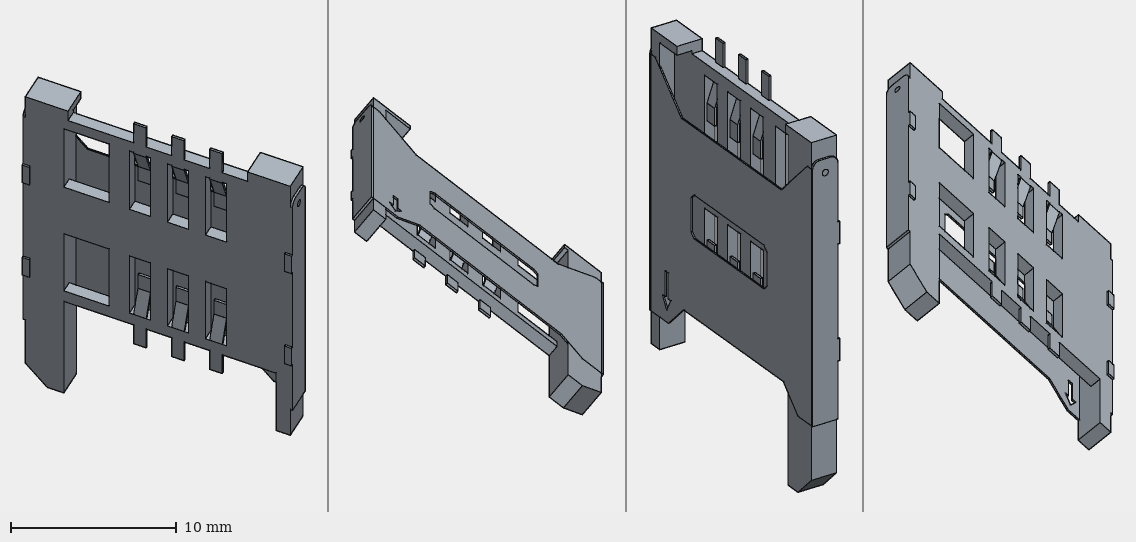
import cadquery as cq
height = 25.4
overall_width = 18.0
housing_depth = 1.83
tab_thickness = 0.13
wall_thickness = 0.15
half_overall = overall_width / 2
half_housing = half_overall - wall_thickness

plate_thickness = 0.75
plate_bottom = 7.95
plate_top = 23.75
block_top = 24.55
block_thickness = 0.6
block_inner_x = 6.0
left_rail_inner_x = -6.27
right_rail_inner_x = 7.9
right_leg_bottom = 2.97
leg_chamfer = 1.47

wall_bottom = 5.2
wall_top = 23.25
wall_corner_radius = 0.5
tab_width = 0.48
tab_height = 1.52
tab_bottoms = [17.16, 9.17]

upper_window_bottom = 17.85
upper_window_top = 22.9
lower_window_bottom = 8.85
lower_window_top = 13.8
wide_window_right_x = -3.25
narrow_window_width = 1.4

first_column_x = -1.2
column_pitch = 2.55
column_xs = [first_column_x + i * column_pitch for i in range(3)]
contact_width = 0.85
contact_thickness = 0.15
contact_lift = plate_thickness - contact_thickness
contact_slope_height = 6.7
upper_bend_z = 22.83
upper_tip_z = 19.9
lower_tail_z = 6.32
lower_tip_z = 11.75

cover_thickness = 0.1
cover_bottom = 6.85
cover_foot_bottom = wall_bottom
cover_foot_rise = cover_bottom - cover_foot_bottom
left_foot_x = -5.75
right_foot_x = 5.28
cover_top = wall_top - wall_corner_radius
notch_bottom = 19.85
notch_half_width = 5.5
notch_rise = cover_top - notch_bottom
opening_left_x = -3.94
opening_right_x = 4.45
opening_bottom = 12.25
opening_top = 15.23
opening_chamfer = 0.33

arrow_x = 7.13
arrow_tip_z = 6.02
arrow_head_top = 6.85
arrow_top = 8.63
arrow_head_half_width = 0.45
arrow_shaft_half_width = 0.18

pin_diameter = 0.43
pin_y = housing_depth / 2
pin_z = 22.32


def box(x0, x1, y0, y1, z0, z1):
    """A block between two opposite corners."""
    block = cq.Workplane("XY").box(abs(x1 - x0), abs(y1 - y0), abs(z1 - z0), centered=False)
    return block.translate((min(x0, x1), min(y0, y1), min(z0, z1)))


def slab(outline, y0, y1):
    """An outline of (x, z) points extruded from depth y0 to depth y1."""
    return cq.Workplane("XZ", origin=(0, y0, 0)).polyline(outline).close().extrude(y0 - y1)


def make_plate():
    """The windowed front plate with its raised upper corners."""
    plate = box(-half_housing, half_housing, 0, plate_thickness, plate_bottom, block_top)
    plate = plate.cut(box(-block_inner_x, block_inner_x, 0, plate_thickness, plate_top, block_top))
    window_rows = [(lower_window_bottom, lower_window_top), (upper_window_bottom, upper_window_top)]
    for z0, z1 in window_rows:
        plate = plate.cut(box(left_rail_inner_x, wide_window_right_x, 0, plate_thickness, z0, z1))
        for x in column_xs:
            half = narrow_window_width / 2
            plate = plate.cut(box(x - half, x + half, 0, plate_thickness, z0, z1))
    return plate


def make_rails():
    """Full-depth side rails; the left one ends in a long chamfered leg."""
    left_outline = [
        (-half_housing, leg_chamfer),
        (-half_housing + leg_chamfer, 0),
        (left_rail_inner_x, 0),
        (left_rail_inner_x, block_top),
        (-half_housing, block_top),
    ]
    left = slab(left_outline, 0, housing_depth)
    right = box(right_rail_inner_x, half_housing, 0, housing_depth, right_leg_bottom, block_top)
    return left.union(right)


def make_corner_block(side):
    """The block that reaches from an upper plate corner to the back."""
    block_bottom = block_top - block_thickness
    return box(side * block_inner_x, side * half_housing, 0, housing_depth, block_bottom, block_top)


def make_side_wall(side):
    """A side wall with rounded upper corners, two front tabs and a pin hole."""
    outer_x = side * half_overall
    wall = box(side * half_housing, outer_x, 0, housing_depth, wall_bottom, wall_top)
    wall = wall.edges("|X and >Z").fillet(wall_corner_radius)
    tab_inner_x = side * (half_overall - tab_width)
    for z in tab_bottoms:
        wall = wall.union(box(tab_inner_x, outer_x, -tab_thickness, 0, z, z + tab_height))
    return wall.cut(make_pin(side))


def make_contact(x, tail_z, bend_z, tip_z):
    """A strip that lies in the front face, then slopes back to a flat tip."""
    direction = 0.25 if tip_z > tail_z else -0.25
    knee_z = bend_z + direction * contact_slope_height
    front = [(0, tail_z), (0, bend_z), (contact_lift, knee_z), (contact_lift, tip_z)]
    back = [(y + contact_thickness, z) for y, z in reversed(front)]
    profile = cq.Workplane("YZ", origin=(x - contact_width / 2, 0, 0)).polyline(front + back).close()
    return profile.extrude(contact_width)


def make_housing():
    """Plate, rails, blocks, walls and contacts in one piece, with a recess for the cover."""
    housing = make_plate().union(make_rails())
    for side in (-1, 1):
        housing = housing.union(make_corner_block(side))
        housing = housing.union(make_side_wall(side))
    for x in column_xs:
        housing = housing.union(make_contact(x, height, upper_bend_z, upper_tip_z))
        housing = housing.union(make_contact(x, lower_tail_z, lower_window_bottom, lower_tip_z))
    return housing.cut(make_cover()).clean()


def make_arrow():
    """The arrow-shaped cutter."""
    right_half = [
        (arrow_head_half_width, arrow_head_top),
        (arrow_shaft_half_width, arrow_head_top),
        (arrow_shaft_half_width, arrow_top),
    ]
    outline = [(arrow_x, arrow_tip_z)]
    outline += [(arrow_x + dx, z) for dx, z in right_half]
    outline += [(arrow_x - dx, z) for dx, z in reversed(right_half)]
    return slab(outline, 0, housing_depth)


def make_cover():
    """The back sheet: two feet, an upper notch, a chamfered opening and the arrow."""
    outline = [
        (-half_housing, cover_foot_bottom),
        (left_foot_x - cover_foot_rise, cover_foot_bottom),
        (left_foot_x, cover_bottom),
        (right_foot_x, cover_bottom),
        (right_foot_x + cover_foot_rise, cover_foot_bottom),
        (half_housing, cover_foot_bottom),
        (half_housing, cover_top),
        (notch_half_width + notch_rise, cover_top),
        (notch_half_width, notch_bottom),
        (-notch_half_width, notch_bottom),
        (-notch_half_width - notch_rise, cover_top),
        (-half_housing, cover_top),
    ]
    cover = slab(outline, housing_depth - cover_thickness, housing_depth)
    opening = box(opening_left_x, opening_right_x, 0, housing_depth, opening_bottom, opening_top)
    opening = opening.edges("|Y").chamfer(opening_chamfer)
    return cover.cut(opening).cut(make_arrow())


def make_pin(side):
    """A round pin as long as the wall is thick, flush with the wall's outer face."""
    pin = cq.Workplane("YZ", origin=(side * half_housing, pin_y, pin_z)).circle(pin_diameter / 2)
    return pin.extrude(side * wall_thickness)


housing = make_housing()
cover = make_cover()
pins = [make_pin(side) for side in (-1, 1)]

result = cq.Compound.makeCompound([housing.val(), cover.val(), *[pin.val() for pin in pins]])